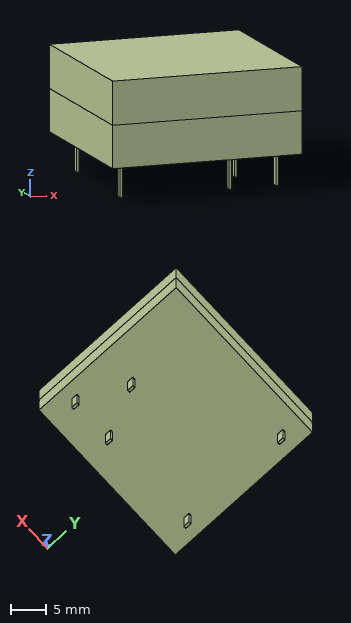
import cadquery as cq

length = 28.5
width = 26.3
total_height = 18.0
pin_length = 5.33
lower_height = 6.3
upper_height = total_height - pin_length - lower_height

pin_thickness = 0.4
pin_width = 1.0
left_x = -11.3
right_middle_x = 8.6
right_pitch = 3.5
front_y = -8.12
middle_y = -0.63
back_y = 9.85
pin_places = [
    (left_x, front_y),
    (left_x, back_y),
    (right_middle_x - right_pitch, front_y),
    (right_middle_x, middle_y),
    (right_middle_x + right_pitch, front_y),
]


def make_block(height, bottom_z):
    """Block of the full footprint, standing on bottom_z."""
    return cq.Workplane("XY").workplane(offset=bottom_z).rect(length, width).extrude(height)


def make_lower_half():
    """Lower half of the block with its pins, as one solid."""
    pins = cq.Workplane("XY").pushPoints(pin_places).rect(pin_thickness, pin_width).extrude(-pin_length)
    return make_block(lower_height, 0).union(pins).solids()


def make_upper_half():
    """Plain upper half of the block, resting on the lower half."""
    return make_block(upper_height, lower_height)


lower_half = make_lower_half()
upper_half = make_upper_half()

result = cq.Compound.makeCompound([lower_half.val(), upper_half.val()])